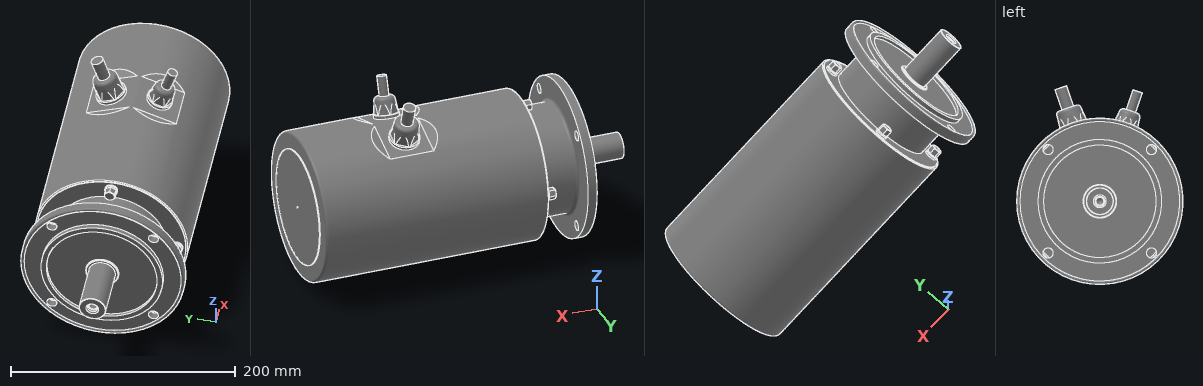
import cadquery as cq
import math

total_length = 308.0
pilot_face = 46.5
rim_bead_crest = 49.5
flange_back = 58.8
seat_face = 94.0
housing_front = 95.0
housing_back = 306.5
cover_back = 307.5

shaft_diameter = 24.0
center_hole_diameter = 7.0
center_hole_depth = 15.5
center_cone_diameter = 11.5
center_cone_depth = 1.2
center_counterbore_diameter = 9.0
center_counterbore_depth = 3.7
drill_point_angle = 120.0
shaft_tip_diameter = 23.5
shaft_collar_diameter = 30.0
shaft_collar_height = 1.2
shaft_collar_chamfer = 0.5

flange_diameter = 148.0
rim_bead_inner_diameter = 142.0
pilot_diameter = 110.0
pilot_recess_diameter = 100.0
pilot_recess_depth = 3.0
flange_hole_diameter = 9.0
flange_hole_circle = 130.0
flange_hole_count = 4
flange_hole_start_angle = 45.0

neck_diameter = 101.0
neck_fillet = 3.5
seat_diameter = 135.0
housing_diameter = 138.0
housing_back_fillet = 2.5
cover_diameter = 106.0
nub_diameter = 1.0

bolt_circle = 118.3
bolt_count = 4
bolt_head_flats = 9.2
bolt_height = 9.0
bolt_head_chamfer = 1.0
bolt_collar_diameter = 11.5
bolt_collar_thickness = 2.5
bolt_collar_chamfer = 1.0

hex_sides = 6
hex_corner_ratio = 1 / math.cos(math.pi / hex_sides)

outlet_x = 214.0
outlet_angle = 19.0
pad_height = 66.0
pad_length = 41.5
pad_ramp_length = 9.2
pad_cut_clearance = 6.2
nut_base_ring = 3.0


def disc(diameter, start, end):
    """Cylinder on the motor axis between two X positions."""
    return cq.Workplane("YZ").workplane(offset=start).circle(diameter / 2).extrude(end - start)


def make_flange():
    """Flange plate with a half-round rim bead and a hollow pilot ring around a shaft collar."""
    bead_radius = (flange_diameter - rim_bead_inner_diameter) / 4
    flange_front = rim_bead_crest + bead_radius
    outer_radius = flange_diameter / 2
    profile = (
        cq.Workplane("XY")
        .moveTo(flange_front, 0)
        .lineTo(flange_front, rim_bead_inner_diameter / 2)
        .threePointArc((rim_bead_crest, outer_radius - bead_radius), (flange_front, outer_radius))
        .lineTo(flange_back, outer_radius)
        .lineTo(flange_back, 0)
        .close()
    )
    plate = profile.revolve(360, (0, 0, 0), (1, 0, 0))
    flange = plate.union(disc(pilot_diameter, pilot_face, flange_back))
    recess_floor = pilot_face + pilot_recess_depth
    flange = flange.cut(disc(pilot_recess_diameter, pilot_face, recess_floor))
    collar = disc(shaft_collar_diameter, recess_floor - shaft_collar_height, recess_floor)
    flange = flange.union(collar.faces("<X").edges().chamfer(shaft_collar_chamfer))
    holes = (
        cq.Workplane("YZ")
        .polarArray(flange_hole_circle / 2, flange_hole_start_angle, 360, flange_hole_count)
        .circle(flange_hole_diameter / 2)
        .extrude(flange_back)
    )
    return flange.cut(holes)


def make_neck():
    """Neck behind the flange, with a concave fillet where it leaves the flange."""
    neck_radius = neck_diameter / 2
    root_radius = neck_radius + neck_fillet
    sag = neck_fillet * math.sqrt(0.5)
    profile = (
        cq.Workplane("XY")
        .moveTo(flange_back, 0)
        .lineTo(flange_back, root_radius)
        .threePointArc(
            (flange_back + neck_fillet - sag, root_radius - sag),
            (flange_back + neck_fillet, neck_radius),
        )
        .lineTo(seat_face, neck_radius)
        .lineTo(seat_face, 0)
        .close()
    )
    return profile.revolve(360, (0, 0, 0), (1, 0, 0))


def make_housing_shell():
    """Main cylinder with its front seat, rear cover and centre nub."""
    barrel = disc(housing_diameter, housing_front, housing_back)
    barrel = barrel.faces(">X").edges().fillet(housing_back_fillet)
    barrel = barrel.union(disc(seat_diameter, seat_face, housing_front))
    barrel = barrel.union(disc(cover_diameter, housing_back, cover_back))
    return barrel.union(disc(nub_diameter, cover_back, total_length))


def make_shaft():
    """Chamfered shaft with a countersunk, counterbored centre hole that ends in a drill point."""
    hole_radius = center_hole_diameter / 2
    drill_tip = center_hole_depth + hole_radius / math.tan(math.radians(drill_point_angle / 2))
    center_hole = (
        cq.Workplane("XY")
        .polyline(
            [
                (0, 0),
                (0, center_cone_diameter / 2),
                (center_cone_depth, center_counterbore_diameter / 2),
                (center_counterbore_depth, center_counterbore_diameter / 2),
                (center_counterbore_depth, hole_radius),
                (center_hole_depth, hole_radius),
                (drill_tip, 0),
            ]
        )
        .close()
        .revolve(360, (0, 0, 0), (1, 0, 0))
    )
    tip_chamfer = (shaft_diameter - shaft_tip_diameter) / 2
    shaft = disc(shaft_diameter, 0, flange_back).faces("<X").edges().chamfer(tip_chamfer)
    return shaft.cut(center_hole)


def make_bolt():
    """Collared hex head on the motor axis, with one corner pointing up."""
    head_start = seat_face - bolt_height
    collar_start = seat_face - bolt_collar_thickness
    corner_diameter = bolt_head_flats * hex_corner_ratio
    head = (
        cq.Workplane("YZ")
        .workplane(offset=head_start)
        .transformed(rotate=(0, 0, 90))
        .polygon(hex_sides, corner_diameter)
        .extrude(bolt_height)
    )
    envelope = disc(corner_diameter, head_start, seat_face).faces("<X").edges().chamfer(bolt_head_chamfer)
    collar = disc(bolt_collar_diameter, collar_start, seat_face)
    collar = collar.faces("<X").edges().chamfer(bolt_collar_chamfer)
    return head.intersect(envelope).union(collar)


def make_pad_cut(tilt):
    """Wedge that mills a flat with two end ramps into the barrel at a tilt about the motor axis."""
    depth = housing_diameter / 2 - pad_height
    top_reach = pad_length / 2 + pad_ramp_length * (1 + pad_cut_clearance / depth)
    top = housing_diameter / 2 + pad_cut_clearance
    cut = (
        cq.Workplane("XZ")
        .polyline(
            [
                (outlet_x - pad_length / 2, pad_height),
                (outlet_x + pad_length / 2, pad_height),
                (outlet_x + top_reach, top),
                (outlet_x - top_reach, top),
            ]
        )
        .close()
        .extrude(housing_diameter / 2, both=True)
    )
    return cut.rotate((0, 0, 0), (1, 0, 0), tilt)


def make_motor():
    """Flange, neck, housing, shaft and bolts as one solid, with the two gland pads milled in."""
    motor = make_flange().union(make_neck()).union(make_housing_shell()).union(make_shaft())
    bolt = make_bolt().translate((0, 0, bolt_circle / 2))
    for index in range(bolt_count):
        motor = motor.union(bolt.rotate((0, 0, 0), (1, 0, 0), index * 360 / bolt_count))
    for tilt in (-outlet_angle, outlet_angle):
        motor = motor.cut(make_pad_cut(tilt))
    return motor


def make_gland(
    tilt,
    base_diameter,
    cone_diameter,
    flats_width,
    top_diameter,
    crown_diameter,
    nut_height,
    cable_diameter,
    cable_end,
):
    """Tapered nut with six wrench flats and a rounded crown, and its cable stub, standing on a pad."""
    crown_radius = (top_diameter - crown_diameter) / 2
    shoulder = nut_height - crown_radius
    bulge = crown_radius * math.sqrt(0.5)
    profile = (
        cq.Workplane("XZ")
        .lineTo(base_diameter / 2, 0)
        .lineTo(base_diameter / 2, nut_base_ring)
        .lineTo(cone_diameter / 2, nut_base_ring)
        .lineTo(top_diameter / 2, shoulder)
        .threePointArc((crown_diameter / 2 + bulge, shoulder + bulge), (crown_diameter / 2, nut_height))
        .lineTo(0, nut_height)
        .close()
    )
    nut = profile.revolve(360, (0, 0, 0), (0, 1, 0))
    flats = (
        cq.Workplane("XY")
        .workplane(offset=nut_base_ring)
        .transformed(rotate=(0, 0, 180 / hex_sides))
        .polygon(hex_sides, flats_width * hex_corner_ratio)
        .extrude(nut_height)
    )
    base_ring = cq.Workplane("XY").circle(base_diameter / 2).extrude(nut_base_ring)
    nut = nut.intersect(flats.union(base_ring))
    cable = cq.Workplane("XY").circle(cable_diameter / 2).extrude(cable_end - pad_height)
    gland = nut.union(cable).translate((outlet_x, 0, pad_height))
    return gland.rotate((0, 0, 0), (1, 0, 0), tilt)


motor = make_motor()
large_gland = make_gland(
    tilt=-outlet_angle,
    base_diameter=27.7,
    cone_diameter=26.2,
    flats_width=23.5,
    top_diameter=22.8,
    crown_diameter=16.0,
    nut_height=22.0,
    cable_diameter=11.0,
    cable_end=107.0,
)
small_gland = make_gland(
    tilt=outlet_angle,
    base_diameter=23.5,
    cone_diameter=22.5,
    flats_width=19.7,
    top_diameter=19.5,
    crown_diameter=11.5,
    nut_height=19.0,
    cable_diameter=9.0,
    cable_end=103.5,
)

result = cq.Compound.makeCompound([motor.val(), large_gland.val(), small_gland.val()])